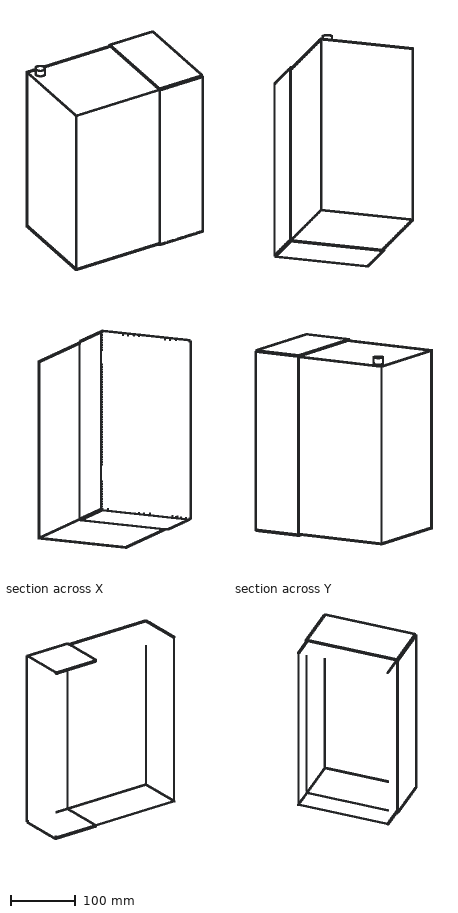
import cadquery as cq

cover_width = 154.0
cover_height = 285.0
cover_depth = 77.0
cover_sheet = 2.0

total_depth = 227.0
case_sheet = 1.03
case_width = cover_width - 2 * cover_sheet
case_height = cover_height - 2 * cover_sheet
case_depth = total_depth - cover_sheet

pin_diameter = 15.0
pin_height = 10.0
pin_inset = 15.5

case_bottom = cover_sheet
case_top = case_bottom + case_height


def block(width, depth, height, y_front, z_bottom):
    """Box centred on X = 0 that starts at y_front and z_bottom."""
    return cq.Workplane("XY").box(width, depth, height, centered=(True, False, False)).translate(
        (0, y_front, z_bottom)
    )


def make_rear_cover():
    """Back wall with four flanges; the corners between flanges are notched."""
    cover_front = total_depth - cover_depth
    across = block(cover_width, cover_depth, case_height, cover_front, case_bottom)
    upright = block(case_width, cover_depth, cover_height, cover_front, 0)
    cavity = block(case_width, cover_depth - cover_sheet, case_height, cover_front, case_bottom)
    return across.union(upright).cut(cavity)


def make_case():
    """Five-walled sheet box, open towards +Y, that reaches the back wall of the cover."""
    outside = block(case_width, case_depth, case_height, 0, case_bottom)
    cavity = block(
        case_width - 2 * case_sheet,
        case_depth - case_sheet,
        case_height - 2 * case_sheet,
        case_sheet,
        case_bottom + case_sheet,
    )
    return outside.cut(cavity)


def make_pin():
    """Round pin near the front left corner of the top of the case."""
    pin = cq.Workplane("XY").circle(pin_diameter / 2).extrude(pin_height)
    return pin.translate((pin_inset - case_width / 2, pin_inset, case_top))


rear_cover = make_rear_cover()
case = make_case()
pin = make_pin()

result = cq.Compound.makeCompound([rear_cover.val(), case.val(), pin.val()])